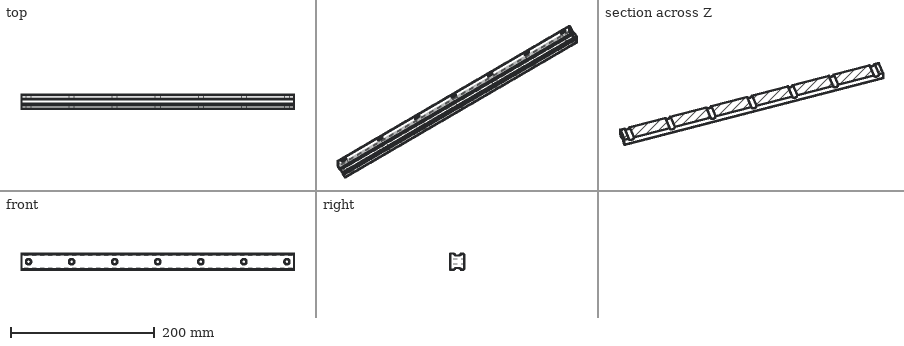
import cadquery as cq
import math

length = 380.0
height = 20.0
width = 23.0

head_top = height / 2
base_bottom = -height / 2
flank = width / 2

bevel_height = 0.51
bevel_width = 1.23
bevel_rounding = 0.8

groove_depth = 2.7
slope_start = -5.0
slope_end = slope_start + groove_depth
groove_floor_end = 2.8

track_start_height = 3.56
track_start_depth = 1.78
track_sag = 0.44
lip_height = 5.47
lip_rounding = 0.26

head_slant_width = 2.1
head_slant_height = 1.97
slant_start_rounding = 0.31
slant_end_rounding = 0.72

hole_diameter = 7.0
hole_pitch = 60.0
hole_count = 7


def toward(start, target, distance):
    """Point at the given distance from start on the way to target."""
    share = distance / math.dist(start, target)
    return tuple(a + (b - a) * share for a, b in zip(start, target))


def rounded_corner(outline, before, corner, after, rounding):
    """Continue the outline from before toward after, rounding the corner between them."""
    arc_start = toward(corner, before, rounding)
    arc_end = toward(corner, after, rounding)
    return outline.lineTo(*arc_start).tangentArcPoint(arc_end, relative=False)


def half_profile():
    """Section of the half with Z > 0, closed along the mid plane."""
    groove_floor = flank - groove_depth
    lip_arc_end = (lip_height, flank - lip_rounding)
    lip_end = (lip_height + lip_rounding, flank)
    slant_start = (head_top - head_slant_height, flank)
    slant_end = (head_top, flank - head_slant_width)
    head_center = (head_top, 0)

    bevel_start = (base_bottom, flank - bevel_width)
    bevel_end = (base_bottom + bevel_height, flank)
    slope_corner = (slope_start, flank)

    outline = cq.Workplane("YZ").moveTo(base_bottom, 0).lineTo(*bevel_start)
    outline = rounded_corner(outline, bevel_start, bevel_end, slope_corner, bevel_rounding)
    outline = (
        outline.lineTo(*slope_corner)
        .lineTo(slope_end, groove_floor)
        .lineTo(groove_floor_end, groove_floor)
        .lineTo(track_start_height, flank - track_start_depth)
        .sagittaArc(lip_arc_end, -track_sag)
        .radiusArc(lip_end, lip_rounding)
    )
    outline = rounded_corner(outline, lip_end, slant_start, slant_end, slant_start_rounding)
    outline = rounded_corner(outline, slant_start, slant_end, head_center, slant_end_rounding)
    return outline.lineTo(*head_center).close()


def rail_body():
    """Full-length rail, symmetric about the mid plane Z = 0."""
    half = half_profile().extrude(length / 2, both=True)
    return half.union(half.mirror("XY"))


def mounting_holes():
    """Row of cylinders along Y that pass through the rail."""
    first_x = -hole_pitch * (hole_count - 1) / 2
    centers = [(first_x + i * hole_pitch, 0) for i in range(hole_count)]
    row = cq.Workplane("XZ").pushPoints(centers).circle(hole_diameter / 2)
    return row.extrude(head_top, both=True)


result = rail_body().cut(mounting_holes())